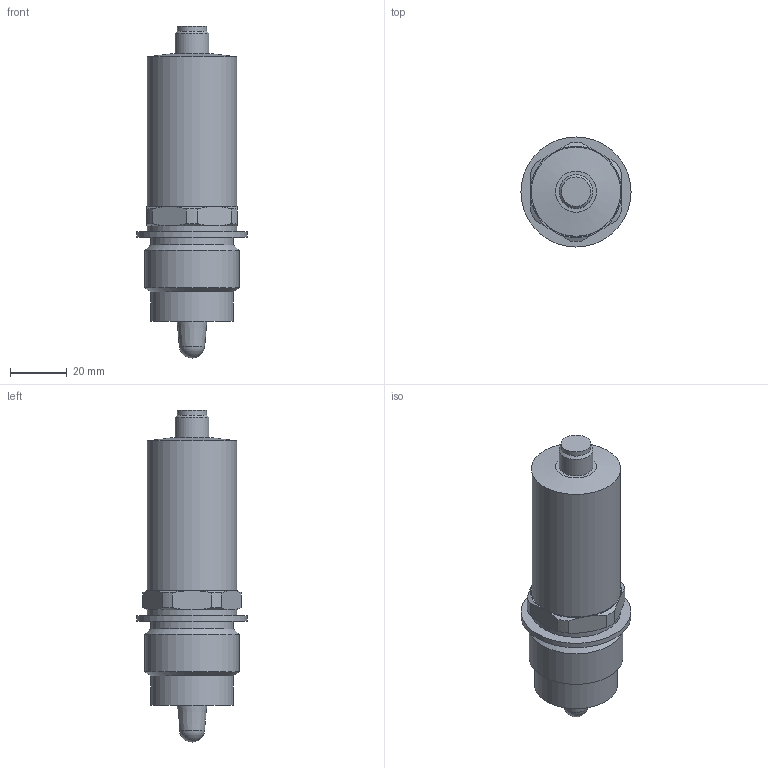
import cadquery as cq
import math


flange_radius = 38.9 / 2
flange_thickness = 1.9

neck_radius = 14.65
neck_length = 2.75
body_radius = 16.65
upper_chamfer_height = 1.9
body_length = 13.2
lower_chamfer_height = 1.45
skirt_radius = neck_radius
skirt_length = 10.5

probe_length = 12.9
probe_dome_radius = 4.5
probe_taper = math.radians(5)

housing_radius = 31.5 / 2
housing_top = 63.65
cap_height = 1.1
cap_flat_radius = 14.5 / 2

connector_radius = 6.0
connector_tip_radius = 10.35 / 2
connector_tip_length = 1.8
connector_chamfer_height = connector_radius - connector_tip_radius
overall_length = 117.25

hex_across_flats = 32.0
hex_bottom = 4.0
hex_height = 6.7
hex_corner_radius = 17.45
hex_end_radius = 16.15
hex_chamfer_height = 0.75

neck_end = -neck_length
body_top = neck_end - upper_chamfer_height
body_bottom = body_top - body_length
skirt_top = body_bottom - lower_chamfer_height
skirt_bottom = skirt_top - skirt_length
probe_tip = skirt_bottom - probe_length
cap_top = housing_top + cap_height
connector_top = probe_tip + overall_length
connector_tip_bottom = connector_top - connector_tip_length


def turn(half_outline):
    """Revolve a closed radius/height outline a full turn about Z."""
    return half_outline.close().revolve(360, (0, 0, 0), (0, 1, 0))


def make_turned_body():
    """Housing, connector, flange and threaded body."""
    outline = cq.Workplane("XZ").polyline([
        (0, skirt_bottom),
        (skirt_radius, skirt_bottom),
        (skirt_radius, skirt_top),
        (body_radius, body_bottom),
        (body_radius, body_top),
        (neck_radius, neck_end),
        (neck_radius, 0),
        (flange_radius, 0),
        (flange_radius, flange_thickness),
        (housing_radius, flange_thickness),
        (housing_radius, housing_top),
        (cap_flat_radius, cap_top),
        (connector_radius, cap_top),
        (connector_radius, connector_tip_bottom - connector_chamfer_height),
        (connector_tip_radius, connector_tip_bottom),
        (connector_tip_radius, connector_top),
        (0, connector_top),
    ])
    return turn(outline)


def make_probe():
    """Tapered pin whose spherical end runs tangent into the taper."""
    dome_center = probe_tip + probe_dome_radius

    def dome_point(angle_below_level):
        radius = probe_dome_radius * math.cos(angle_below_level)
        height = dome_center - probe_dome_radius * math.sin(angle_below_level)
        return radius, height

    tangent_point = dome_point(probe_taper)
    dome_middle = dome_point((probe_taper + math.pi / 2) / 2)
    taper_height = skirt_bottom - tangent_point[1]
    root_radius = tangent_point[0] + taper_height * math.tan(probe_taper)
    outline = (
        cq.Workplane("XZ")
        .moveTo(0, skirt_bottom)
        .lineTo(root_radius, skirt_bottom)
        .lineTo(*tangent_point)
        .threePointArc(dome_middle, (0, probe_tip))
    )
    return turn(outline)


def make_hexagon():
    """Hexagon with flats facing +X and -X, corners turned round and ends chamfered."""
    hex_top = hex_bottom + hex_height
    prism = (
        cq.Workplane("XY", origin=(0, 0, hex_bottom))
        .polygon(6, hex_across_flats, circumscribed=True)
        .extrude(hex_height)
    )
    turned_limit = turn(cq.Workplane("XZ").polyline([
        (0, hex_bottom),
        (hex_end_radius, hex_bottom),
        (hex_corner_radius, hex_bottom + hex_chamfer_height),
        (hex_corner_radius, hex_top - hex_chamfer_height),
        (hex_end_radius, hex_top),
        (0, hex_top),
    ]))
    return prism.intersect(turned_limit)


result = make_turned_body().union(make_hexagon()).union(make_probe())